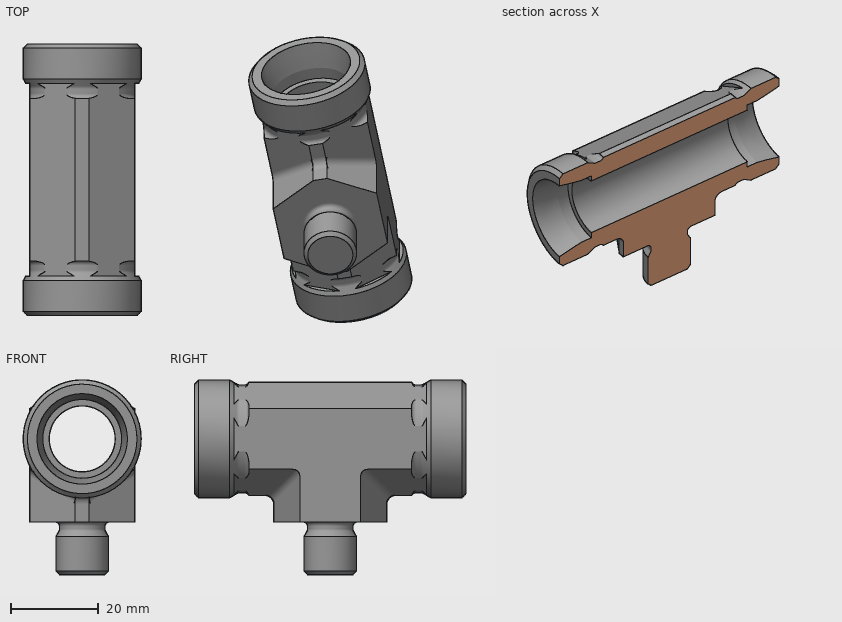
import cadquery as cq
import math


length = 62.0
drop = 31.0

across_flats = 24.0
edge_height = 12.93
branch_drop = 19.0
junction_fillet = 2.0

cone_angle = 30.0
relief_fillet = 1.0

collar_radius = 27.0 / 2
collar_chamfer = 1.0
collar_width = 8.0
collar_neck_radius = 12.35
collar_shoulder = 12.45
hex_start = 9.0

stud_radius = 12.0 / 2
stud_chamfer = 0.85
stud_width = 8.75
stud_neck_radius = 10.4 / 2
stud_length = drop - branch_drop

bore_radius = 15.0 / 2
socket_radius = 18.0 / 2
socket_depth = 9.0
mouth_radius = 20.65 / 2
mouth_depth = 6.2


def hex_prism(height):
    """Hexagon prism along +Z, flats facing +-X, the two edges on Y cut flat."""
    corner_diameter = across_flats / math.cos(math.radians(30))
    prism = cq.Workplane("XY").polygon(6, corner_diameter).extrude(height)
    prism = prism.rotate((0, 0, 0), (0, 0, 1), 30)
    trim = cq.Workplane("XY").rect(across_flats, 2 * edge_height).extrude(height)
    return prism.intersect(trim)


def turned_end(radius, chamfer, width, neck_radius, shoulder):
    """Chamfered cylinder with a rounded relief groove, end face at Z = 0, body toward +Z."""
    slope = math.radians(cone_angle)
    neck_start = width + (radius - neck_radius) / math.tan(slope)
    tangent = relief_fillet * math.tan(slope / 2)
    arc_start = (neck_radius + tangent * math.sin(slope), neck_start - tangent * math.cos(slope))
    arc_end = (neck_radius, neck_start + tangent)
    arc_middle = (
        neck_radius + relief_fillet * (1 - math.cos(slope / 2)),
        arc_end[1] - relief_fillet * math.sin(slope / 2),
    )
    wall_middle = (
        neck_radius + relief_fillet * (1 - math.cos(math.pi / 4)),
        shoulder - relief_fillet * (1 - math.sin(math.pi / 4)),
    )
    return (
        cq.Workplane("XZ")
        .moveTo(0, 0)
        .lineTo(radius - chamfer, 0)
        .lineTo(radius, chamfer)
        .lineTo(radius, width)
        .lineTo(*arc_start)
        .threePointArc(arc_middle, arc_end)
        .lineTo(neck_radius, shoulder - relief_fillet)
        .threePointArc(wall_middle, (neck_radius + relief_fillet, shoulder))
        .lineTo(0, shoulder)
        .close()
        .revolve(360, (0, 0), (0, 1))
    )


def tee_body():
    """Hexagonal bar between the relief grooves, joined to the branch with filleted corners."""
    bar_length = length - 2 * collar_shoulder
    bar = hex_prism(bar_length).translate((0, 0, -bar_length / 2))
    bar = bar.rotate((0, 0, 0), (1, 0, 0), 90)
    branch = hex_prism(branch_drop).translate((0, 0, -branch_drop))
    body = bar.union(branch)

    def is_junction(edge):
        center = edge.Center()
        return center.z < -across_flats / 4 and abs(abs(center.y) + center.z) < 0.005

    return body.newObject([e for e in body.edges().vals() if is_junction(e)]).fillet(junction_fillet)


def collar():
    """Round collar whose relief groove is cut back to the hexagon faces beyond hex_start."""
    turned = turned_end(
        collar_radius, collar_chamfer, collar_width, collar_neck_radius, collar_shoulder
    )
    envelope = cq.Workplane("XY").circle(collar_radius).extrude(hex_start)
    envelope = envelope.union(hex_prism(collar_shoulder))
    return turned.intersect(envelope)


def bore():
    """Through bore along Z with a socket and a tapered mouth at each end, centred on the origin."""
    half = length / 2
    step = half - socket_depth
    taper = half - mouth_depth
    points = [
        (0, -half),
        (mouth_radius, -half),
        (socket_radius, -taper),
        (socket_radius, -step),
        (bore_radius, -step),
        (bore_radius, step),
        (socket_radius, step),
        (socket_radius, taper),
        (mouth_radius, half),
        (0, half),
    ]
    return cq.Workplane("XZ").polyline(points).close().revolve(360, (0, 0), (0, 1))


result = tee_body()

for turn in (-90, 90):
    end = collar().translate((0, 0, -length / 2))
    result = result.union(end.rotate((0, 0, 0), (1, 0, 0), turn))

stud = turned_end(stud_radius, stud_chamfer, stud_width, stud_neck_radius, stud_length)
result = result.union(stud.translate((0, 0, -drop)))

result = result.cut(bore().rotate((0, 0, 0), (1, 0, 0), 90))